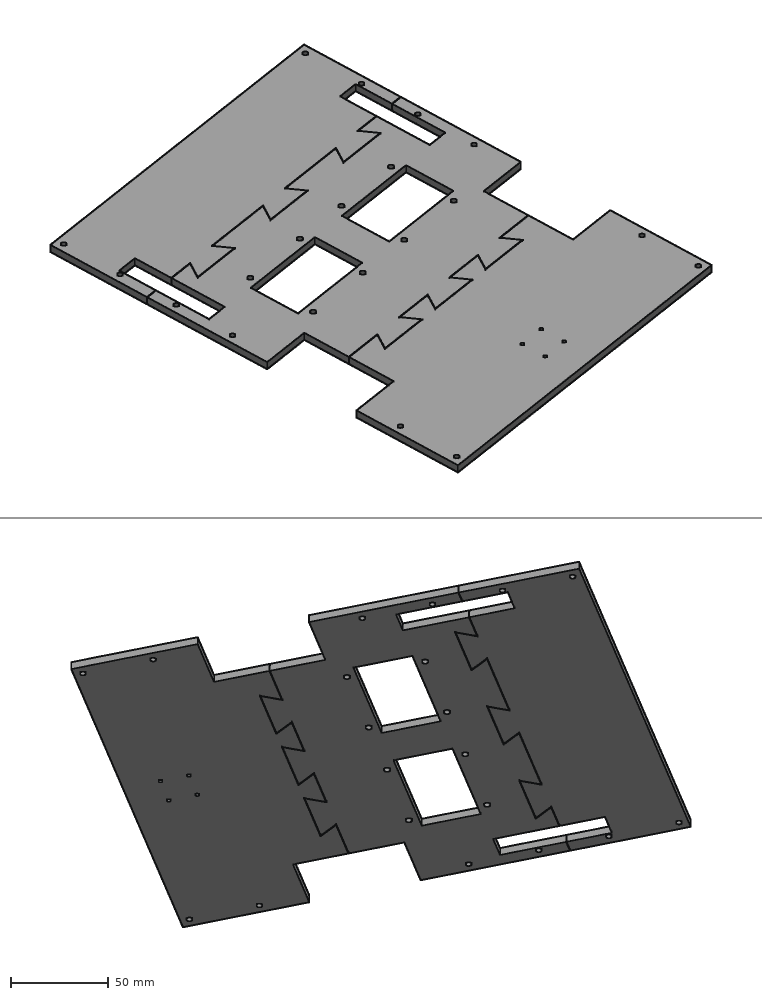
import cadquery as cq
import math

length = 272.5
width = 205.0
thickness = 5.0
left_edge = -length / 2
right_edge = length / 2

waist_width = 145.0
waist_start = 8.7
waist_end = 68.5

joint_clearance = 0.3
tail_depth = 10.0
tail_tip_width = 29.5
tail_flank_angle = 31.0
tail_root_width = tail_tip_width - 2 * tail_depth * math.tan(math.radians(tail_flank_angle))
front_seam_x = -71.7
front_tail_pitch = 59.0
rear_seam_x = 38.5
rear_tail_pitch = 40.5

edge_hole_diameter = 3.0
edge_hole_inset = 5.0
front_row_length = 113.0
front_row_count = 4
rear_row_count = 2
holes_before_seam = 2
edge_hole_pitch = front_row_length / (front_row_count - 1)
front_row_x = [left_edge + edge_hole_inset + i * edge_hole_pitch for i in range(front_row_count)]
rear_row_x = [right_edge - edge_hole_inset - i * edge_hole_pitch for i in range(rear_row_count)]

slot_length = 60.0
slot_width = 12.5
slot_start = -96.0
slot_edge_margin = 7.0

window_length = 31.5
window_width = 51.8
window_x = -19.4
window_y = 36.8
window_hole_diameter = 3.3
window_hole_spacing_x = 42.0
window_hole_spacing_y = 40.0

small_hole_diameter = 2.0
small_hole_spacing = 15.3
small_pattern_x = 108.5


def block(x_start, x_end, y_size):
    """Plate blank between two X positions, centred in Y."""
    x_centre = (x_start + x_end) / 2
    return cq.Workplane("XY").center(x_centre, 0).box(x_end - x_start, y_size, thickness)


def tail_outline(seam_x):
    """Closed trapezoid of one dovetail that widens towards +X from a seam."""
    tip_x = seam_x + tail_depth
    root = tail_root_width / 2
    tip = tail_tip_width / 2
    return (
        cq.Workplane("XY")
        .workplane(offset=-thickness / 2)
        .polyline([(seam_x, -root), (tip_x, -tip), (tip_x, tip), (seam_x, root)])
        .close()
    )


def dovetail_row(dovetail, pitch):
    """Three copies of a dovetail, the middle one on the X axis."""
    return [dovetail.translate((0, row * pitch, 0)) for row in (-1, 0, 1)]


def add_tails(plate, seam_x, pitch):
    tail = tail_outline(seam_x).extrude(thickness)
    for copy in dovetail_row(tail, pitch):
        plate = plate.union(copy)
    return plate


def cut_sockets(plate, seam_x, pitch):
    """Pockets for the tails, larger than them by the clearance on every side."""
    socket = tail_outline(seam_x).offset2D(joint_clearance, "intersection").extrude(thickness)
    for copy in dovetail_row(socket, pitch):
        plate = plate.cut(copy)
    return plate


def drill(plate, points, diameter):
    cutter = cq.Workplane("XY").pushPoints(points).circle(diameter / 2).extrude(thickness, both=True)
    return plate.cut(cutter)


def edge_hole_points(x_positions):
    """One hole near each long side at every X position."""
    y = width / 2 - edge_hole_inset
    return [(x, side * y) for x in x_positions for side in (-1, 1)]


def cut_slots(plate):
    slot_y = width / 2 - slot_edge_margin - slot_width / 2
    centres = [(slot_start + slot_length / 2, side * slot_y) for side in (-1, 1)]
    slots = cq.Workplane("XY").pushPoints(centres).rect(slot_length, slot_width)
    cutter = slots.extrude(thickness, both=True)
    return plate.cut(cutter)


def cut_windows(plate):
    for side in (-1, 1):
        centre = cq.Workplane("XY").center(window_x, side * window_y)
        plate = plate.cut(centre.rect(window_length, window_width).extrude(thickness, both=True))
        screw_holes = (
            centre.rarray(window_hole_spacing_x, window_hole_spacing_y, 2, 2)
            .circle(window_hole_diameter / 2)
            .extrude(thickness, both=True)
        )
        plate = plate.cut(screw_holes)
    return plate


def make_front_plate():
    plate = block(left_edge, front_seam_x, width)
    plate = add_tails(plate, front_seam_x, front_tail_pitch)
    plate = cut_slots(plate)
    return drill(plate, edge_hole_points(front_row_x[:holes_before_seam]), edge_hole_diameter)


def make_middle_plate():
    plate = block(front_seam_x + joint_clearance, waist_start, width)
    plate = plate.union(block(waist_start, rear_seam_x, waist_width))
    plate = cut_sockets(plate, front_seam_x, front_tail_pitch)
    plate = add_tails(plate, rear_seam_x, rear_tail_pitch)
    plate = cut_slots(plate)
    plate = cut_windows(plate)
    return drill(plate, edge_hole_points(front_row_x[holes_before_seam:]), edge_hole_diameter)


def make_rear_plate():
    plate = block(rear_seam_x + joint_clearance, waist_end, waist_width)
    plate = plate.union(block(waist_end, right_edge, width))
    plate = cut_sockets(plate, rear_seam_x, rear_tail_pitch)
    plate = drill(plate, edge_hole_points(rear_row_x), edge_hole_diameter)
    half = small_hole_spacing / 2
    pattern = [(small_pattern_x + i * half, j * half) for i in (-1, 1) for j in (-1, 1)]
    return drill(plate, pattern, small_hole_diameter)


front_plate = make_front_plate()
middle_plate = make_middle_plate()
rear_plate = make_rear_plate()

result = cq.Compound.makeCompound([front_plate.val(), middle_plate.val(), rear_plate.val()])